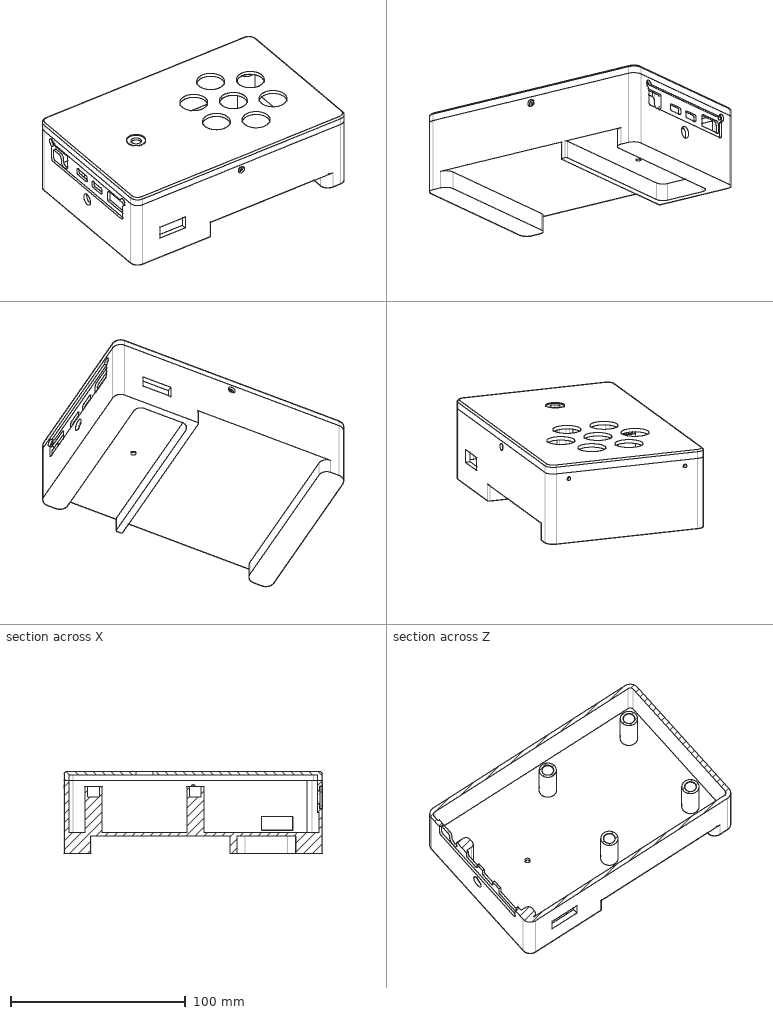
import cadquery as cq
import math

LENGTH = 148.0
WIDTH = 97.0
HEIGHT = 47.0
CORNER_RADIUS = 5.0
WALL = 3.0
FRONT_WALL = 2.0
INNER_CORNER_RADIUS = CORNER_RADIUS - WALL
SEAM_Z = 42.0
FLOOR_UNDERSIDE_Z = 10.0
FLOOR_THICKNESS = 2.0
FLOOR_Z = FLOOR_UNDERSIDE_Z + FLOOR_THICKNESS
FRONT_Y = -LENGTH / 2
SIDE_X = WIDTH / 2

FOOT_Y = 58.6
FOOT_ROUND = 5.0
DIVIDER_REAR_Y = -21.0
DIVIDER_THICKNESS = 4.1
DIVIDER_FRONT_Y = DIVIDER_REAR_Y - DIVIDER_THICKNESS
DIVIDER_END_ROUND = 1.0
POCKET_END_X = SIDE_X - DIVIDER_THICKNESS
POCKET_CORNER_RADIUS = 4.6

LID_PLATE = 2.0
LID_CHAMFER = 1.0
VENT_RADIUS = 8.0
VENT_PITCH = 22.8
VENT_CENTRE_Y = 28.0
VENT_RING_COUNT = 6
VENT_STEP_ANGLE = 360 / VENT_RING_COUNT
BUTTON_Y = -39.8
BUTTON_HOLE_RADIUS = 3.0
BUTTON_RING_RADIUS = 5.5
BUTTON_RING_DEPTH = 0.6

POST_SPACING = 58.3
POST_RADIUS = 5.0
POST_TOP_Z = 38.5
POST_BORE_RADIUS = 3.3
POST_BORE_DEPTH = 5.9

SCREW_Z = 38.3
SCREW_HOLE_RADIUS = 1.0
SCREW_HEAD_RADIUS = 2.0
SCREW_HEAD_DEPTH = 1.5
FLOOR_HOLE = (2.0, -39.5)
FLOOR_HOLE_RADIUS = 1.5

RECESS_HALF_WIDTH = 35.7
RECESS_BOTTOM_Z = 25.8
RECESS_TOP_Z = 38.5
RECESS_DEPTH = 1.5
RECESS_CORNER_RADIUS = 1.5
EAR_FLANK_ANGLE = 45
PORT_TOP_Z = 36.0

LEFT_PORT_RIGHT_X = -21.6
LEFT_PORT_STEP_X = -28.1
LEFT_PORT_STEP_Z = 32.4
LEFT_PORT_BOTTOM_Z = 26.0
LEFT_PORT_STEP_ROUND = 2.0
LEFT_PORT_BOTTOM_ROUND = 3.0
LEFT_PORT_TOP_ROUND = 0.7

RIGHT_PORT_X = (18.5, 34.6)
RIGHT_PORT_BOTTOM_Z = 28.7
RIGHT_PORT_TOP_ROUND = 1.9
RIGHT_PORT_BOTTOM_ROUND = 0.7

SLOT_SPANS = [(-12.3, -2.2), (2.8, 12.6)]
SLOT_BOTTOM_Z = 29.3
SLOT_TOP_Z = 33.5
SLOT_ROUND = 1.0

CABLE_HOLE_Z = 19.1
CABLE_HOLE_RADIUS = 3.4

PAD_MARGIN = 2.0
PAD_REAR_Y = FRONT_Y + WALL
RIB_DEPTH = 5.9
RIB_WIDTH = 8.0
RIB_REAR_ROUND = 2.8
LEFT_RIB_X = LEFT_PORT_RIGHT_X
RIGHT_RIB_X = SIDE_X - WALL - RIB_WIDTH

SIDE_PORT_Y = (-57.0, -39.2)
SIDE_PORT_Z = (13.5, 21.2)


def block(x, y, z):
    """Box spanning the given (low, high) pairs."""
    size = [high - low for low, high in (x, y, z)]
    return cq.Workplane("XY").box(*size, centered=False).translate((x[0], y[0], z[0]))


def rounded_block(width, length, radius, z_low, z_high):
    """Centred box with rounded vertical corners."""
    slab = cq.Workplane("XY").workplane(offset=z_low).rect(width, length).extrude(z_high - z_low)
    return slab.edges("|Z").fillet(radius)


def front_workplane():
    """XZ workplane on the front face; a negative extrusion runs into the part."""
    return cq.Workplane("XZ", origin=(0, FRONT_Y, 0))


def front_disc(x, z, radius, depth):
    """Cylinder running inward from the front face."""
    return front_workplane().center(x, z).circle(radius).extrude(-depth)


def front_window(x, z, depth):
    """Rectangular cut running inward from the front face."""
    return block(x, (FRONT_Y, FRONT_Y + depth), z)


def underside_passage():
    """Passage along X, full width, between the divider and the rear foot."""
    return block((-SIDE_X, SIDE_X), (DIVIDER_REAR_Y, FOOT_Y), (0, FLOOR_UNDERSIDE_Z))


def underside_pocket():
    """Pocket open on -X, between the front foot and the divider."""
    pocket = block((-SIDE_X, POCKET_END_X), (-FOOT_Y, DIVIDER_FRONT_Y), (0, FLOOR_UNDERSIDE_Z))
    return pocket.edges("|Z and >X").fillet(POCKET_CORNER_RADIUS)


def cavity():
    """Open-topped interior, whose front wall is thinner than the others."""
    inside = block(
        (WALL - SIDE_X, SIDE_X - WALL),
        (FRONT_Y + FRONT_WALL, LENGTH / 2 - WALL),
        (FLOOR_Z, SEAM_Z),
    )
    return inside.edges("|Z").fillet(INNER_CORNER_RADIUS)


def recess_pad():
    """Extra thickness on the inside of the front wall, behind the recess."""
    reach = RECESS_HALF_WIDTH + SCREW_HEAD_RADIUS + PAD_MARGIN
    return block(
        (-reach, reach), (FRONT_Y + FRONT_WALL, PAD_REAR_Y), (RECESS_BOTTOM_Z - PAD_MARGIN, SEAM_Z)
    )


def port_rib(left_x):
    """Full-height rib on the inside of the front wall."""
    y_span = (FRONT_Y + FRONT_WALL, PAD_REAR_Y + RIB_DEPTH)
    rib = block((left_x, left_x + RIB_WIDTH), y_span, (FLOOR_Z, SEAM_Z))
    return rib.edges("|Z and >Y").fillet(RIB_REAR_ROUND)


def mouth_rounding(face_y, side, open_direction, radius):
    """Material removed to round the vertical edge where an underside face meets a side wall."""
    outer_x = side * SIDE_X
    inner_x = side * (SIDE_X - radius)
    far_y = face_y - open_direction * radius
    return (
        cq.Workplane("XY")
        .moveTo(outer_x, face_y)
        .lineTo(inner_x, face_y)
        .radiusArc((outer_x, far_y), side * open_direction * radius)
        .close()
        .extrude(FLOOR_UNDERSIDE_Z)
    )


def left_port(depth):
    left_x = -RECESS_HALF_WIDTH
    port = (
        front_workplane()
        .moveTo(left_x, PORT_TOP_Z)
        .lineTo(LEFT_PORT_RIGHT_X, PORT_TOP_Z)
        .lineTo(LEFT_PORT_RIGHT_X, LEFT_PORT_BOTTOM_Z)
        .lineTo(LEFT_PORT_STEP_X, LEFT_PORT_BOTTOM_Z)
        .lineTo(LEFT_PORT_STEP_X, LEFT_PORT_STEP_Z)
        .lineTo(left_x, LEFT_PORT_STEP_Z)
        .close()
        .extrude(-depth)
    )
    middle_y = FRONT_Y + depth / 2
    step = cq.selectors.NearestToPointSelector((LEFT_PORT_STEP_X, middle_y, LEFT_PORT_STEP_Z))
    top = cq.selectors.NearestToPointSelector((LEFT_PORT_RIGHT_X, middle_y, PORT_TOP_Z))
    port = port.edges("|Y and <Z").fillet(LEFT_PORT_BOTTOM_ROUND)
    port = port.edges(step).fillet(LEFT_PORT_STEP_ROUND)
    return port.edges(top).fillet(LEFT_PORT_TOP_ROUND)


def right_port(depth):
    port = front_window(RIGHT_PORT_X, (RIGHT_PORT_BOTTOM_Z, PORT_TOP_Z), depth)
    port = port.edges("|Y and >Z").fillet(RIGHT_PORT_TOP_ROUND)
    return port.edges("|Y and <Z").fillet(RIGHT_PORT_BOTTOM_ROUND)


def slot(x_span, depth):
    window = front_window(x_span, (SLOT_BOTTOM_Z, SLOT_TOP_Z), depth)
    return window.edges("|Y").fillet(SLOT_ROUND)


def recess_ear(side):
    """Round screw seat on an upper recess corner, blended into it by 45 degree flanks."""
    x = side * RECESS_HALF_WIDTH
    seat = front_disc(x, SCREW_Z, SCREW_HEAD_RADIUS, RECESS_DEPTH)
    reach = 2 * SCREW_HEAD_RADIUS
    flanks = front_window((-SCREW_HEAD_RADIUS, SCREW_HEAD_RADIUS), (-reach, 0), RECESS_DEPTH)
    flanks = flanks.rotate((0, 0, 0), (0, 1, 0), side * EAR_FLANK_ANGLE).translate((x, 0, SCREW_Z))
    return seat.union(flanks)


def connector_recess():
    recess = front_window(
        (-RECESS_HALF_WIDTH, RECESS_HALF_WIDTH), (RECESS_BOTTOM_Z, RECESS_TOP_Z), RECESS_DEPTH
    )
    recess = recess.edges("|Y and <Z").fillet(RECESS_CORNER_RADIUS)
    for side in (-1, 1):
        recess = recess.union(recess_ear(side))
    return recess


def side_screw_hole(side):
    """Counterbored hole through a side wall."""
    wall_face = cq.Workplane("YZ", origin=(side * SIDE_X, 0, SCREW_Z))
    head = wall_face.circle(SCREW_HEAD_RADIUS).extrude(-side * SCREW_HEAD_DEPTH)
    shank = wall_face.circle(SCREW_HOLE_RADIUS).extrude(-side * WALL)
    return head.union(shank)


def mounting_post(x, y):
    post = cq.Workplane("XY", origin=(x, y, FLOOR_UNDERSIDE_Z))
    post = post.circle(POST_RADIUS).extrude(POST_TOP_Z - FLOOR_UNDERSIDE_Z)
    bore = cq.Workplane("XY", origin=(x, y, POST_TOP_Z))
    bore = bore.circle(POST_BORE_RADIUS).extrude(-POST_BORE_DEPTH)
    return post.cut(bore)


def make_housing():
    body = rounded_block(WIDTH, LENGTH, CORNER_RADIUS, 0, SEAM_Z)
    body = body.cut(cavity()).union(recess_pad())
    for rib_x in (LEFT_RIB_X, RIGHT_RIB_X):
        body = body.union(port_rib(rib_x))

    body = body.cut(underside_passage()).cut(underside_pocket())
    for side in (-1, 1):
        body = body.cut(mouth_rounding(FOOT_Y, side, -1, FOOT_ROUND))
        body = body.cut(mouth_rounding(DIVIDER_REAR_Y, side, 1, DIVIDER_END_ROUND))
    body = body.cut(mouth_rounding(-FOOT_Y, -1, 1, FOOT_ROUND))
    body = body.cut(mouth_rounding(DIVIDER_FRONT_Y, -1, -1, DIVIDER_END_ROUND))

    body = body.cut(connector_recess()).cut(left_port(WALL)).cut(right_port(WALL))
    for span in SLOT_SPANS:
        body = body.cut(slot(span, WALL))
    body = body.cut(front_disc(0, CABLE_HOLE_Z, CABLE_HOLE_RADIUS, WALL))

    for side in (-1, 1):
        body = body.cut(front_disc(side * RECESS_HALF_WIDTH, SCREW_Z, SCREW_HOLE_RADIUS, LENGTH))
        body = body.cut(side_screw_hole(side))
    floor_hole = cq.Workplane("XY").center(*FLOOR_HOLE).circle(FLOOR_HOLE_RADIUS).extrude(FLOOR_Z)
    body = body.cut(floor_hole)

    body = body.cut(block((SIDE_X - WALL, SIDE_X), SIDE_PORT_Y, SIDE_PORT_Z))

    for side in (-1, 1):
        for end in (-1, 1):
            x = side * POST_SPACING / 2
            y = VENT_CENTRE_Y + end * POST_SPACING / 2
            body = body.union(mounting_post(x, y))
    return body


def vent_centres():
    """One vent in the middle and a ring of evenly spaced vents around it."""
    ring = [math.radians(VENT_STEP_ANGLE * step) for step in range(VENT_RING_COUNT)]
    around = [
        (VENT_PITCH * math.cos(angle), VENT_CENTRE_Y + VENT_PITCH * math.sin(angle))
        for angle in ring
    ]
    return [(0, VENT_CENTRE_Y)] + around


def make_lid():
    plate_bottom_z = HEIGHT - LID_PLATE
    lid = rounded_block(WIDTH, LENGTH, CORNER_RADIUS, SEAM_Z, HEIGHT)
    lid = lid.faces(">Z").edges().chamfer(LID_CHAMFER)
    lid = lid.cut(
        rounded_block(WIDTH - 2 * WALL, LENGTH - 2 * WALL, INNER_CORNER_RADIUS, SEAM_Z, plate_bottom_z)
    )
    top = cq.Workplane("XY").workplane(offset=HEIGHT)
    lid = lid.cut(top.pushPoints(vent_centres()).circle(VENT_RADIUS).extrude(-LID_PLATE))
    lid = lid.cut(top.center(0, BUTTON_Y).circle(BUTTON_HOLE_RADIUS).extrude(-LID_PLATE))
    return lid.cut(top.center(0, BUTTON_Y).circle(BUTTON_RING_RADIUS).extrude(-BUTTON_RING_DEPTH))


housing = make_housing()
lid = make_lid()

result = cq.Compound.makeCompound([housing.val(), lid.val()])